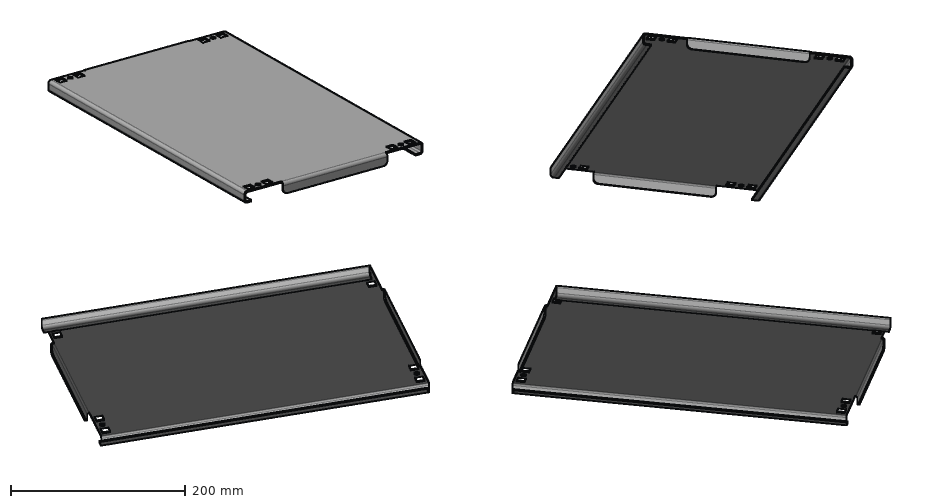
import cadquery as cq

overall_length = 399.0
overall_width = 250.0
overall_height = 15.0

sheet = 2.0
inner_bend_radius = 2.0
outer_bend_radius = inner_bend_radius + sheet

lip_width = 10.0

tab_width = 146.0
tab_corner_radius = 6.0
panel_length = overall_length - 2 * outer_bend_radius

square_hole_size = 9.5
round_hole_diameter = 6.0
hole_group_x = 187.5
hole_group_y = 100.0
square_hole_offset = 12.5

SIDES = (-1, 1)


def channel_panel():
    """Flat panel with both long edges folded into inward-facing C shapes."""
    outer = (
        cq.Workplane("XY")
        .box(panel_length, overall_width, overall_height, centered=(True, True, False))
        .translate((0, 0, -overall_height))
        .edges("|X")
        .fillet(outer_bend_radius)
    )
    inner = (
        cq.Workplane("XY")
        .box(
            panel_length,
            overall_width - 2 * sheet,
            overall_height - 2 * sheet,
            centered=(True, True, False),
        )
        .translate((0, 0, sheet - overall_height))
        .edges("|X")
        .fillet(inner_bend_radius)
    )
    lip_gap = (
        cq.Workplane("XY")
        .box(
            panel_length,
            overall_width - 2 * lip_width,
            overall_height - sheet,
            centered=(True, True, False),
        )
        .translate((0, 0, -overall_height))
    )
    return outer.cut(inner).cut(lip_gap)


def end_tab(side):
    """Tab folded down from the short edge on the given side, lower corners rounded."""
    outer_x = overall_length / 2
    bend_x = panel_length / 2
    profile = (
        cq.Workplane("XZ")
        .moveTo(bend_x, 0)
        .radiusArc((outer_x, -outer_bend_radius), outer_bend_radius)
        .lineTo(outer_x, -overall_height)
        .lineTo(outer_x - sheet, -overall_height)
        .lineTo(outer_x - sheet, -outer_bend_radius)
        .radiusArc((bend_x, -sheet), -inner_bend_radius)
        .close()
    )
    tab = (
        profile.extrude(tab_width / 2, both=True)
        .faces("<Z")
        .edges("|X")
        .fillet(tab_corner_radius)
    )
    return tab if side > 0 else tab.mirror("YZ")


def hole_group(side_x, side_y):
    """Cutters for two square holes with a round hole between them."""
    group = cq.Workplane("XY").center(side_x * hole_group_x, side_y * hole_group_y)
    squares = (
        group.pushPoints([(0, -square_hole_offset), (0, square_hole_offset)])
        .rect(square_hole_size, square_hole_size)
        .extrude(-sheet)
    )
    return squares.union(group.circle(round_hole_diameter / 2).extrude(-sheet))


result = channel_panel()
for side_x in SIDES:
    result = result.union(end_tab(side_x))
    for side_y in SIDES:
        result = result.cut(hole_group(side_x, side_y))